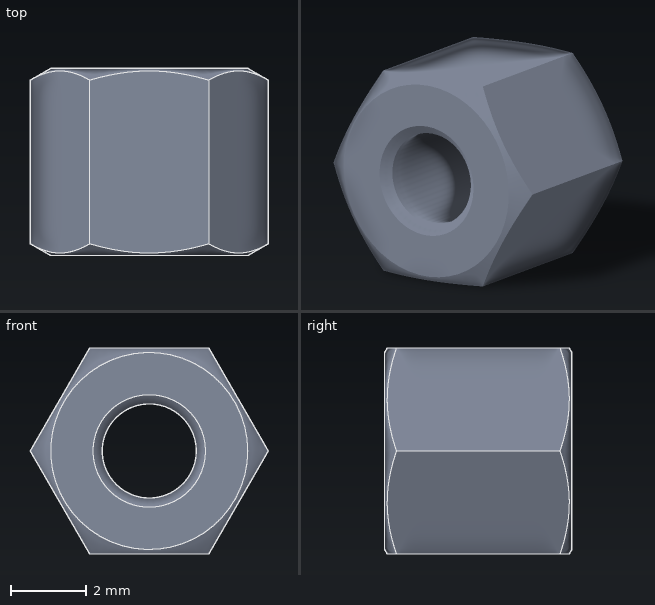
import cadquery as cq
import math

across_corners = 6.35
length = 5.0
end_face_diameter = 5.25
end_chamfer_angle = 30.0
bore_diameter = 2.5
countersink_diameter = 3.0
countersink_angle = 45.0

corner_radius = across_corners / 2
end_face_radius = end_face_diameter / 2
bore_radius = bore_diameter / 2
countersink_radius = countersink_diameter / 2
half_length = length / 2


def cone_depth(outer_radius, inner_radius, angle):
    """Axial depth of a cone between two radii."""
    return (outer_radius - inner_radius) * math.tan(math.radians(angle))


def revolve_about_y(profile):
    """Solid of revolution of a closed (radius, y) outline."""
    return cq.Workplane("XY").polyline(profile).close().revolve(360, (0, 0, 0), (0, 1, 0))


def hexagonal_bar():
    bar = cq.Workplane("XZ").polygon(6, across_corners)
    return bar.extrude(half_length, both=True)


def chamfer_envelope():
    """Round bar with conical ends that trims the hexagon's corners."""
    shoulder = half_length - cone_depth(corner_radius, end_face_radius, end_chamfer_angle)
    return revolve_about_y([
        (0, -half_length),
        (end_face_radius, -half_length),
        (corner_radius, -shoulder),
        (corner_radius, shoulder),
        (end_face_radius, half_length),
        (0, half_length),
    ])


def countersunk_bore():
    """Through bore, countersunk at both ends."""
    sink_bottom = half_length - cone_depth(countersink_radius, bore_radius, countersink_angle)
    return revolve_about_y([
        (0, -half_length),
        (countersink_radius, -half_length),
        (bore_radius, -sink_bottom),
        (bore_radius, sink_bottom),
        (countersink_radius, half_length),
        (0, half_length),
    ])


result = hexagonal_bar().intersect(chamfer_envelope()).cut(countersunk_bore())